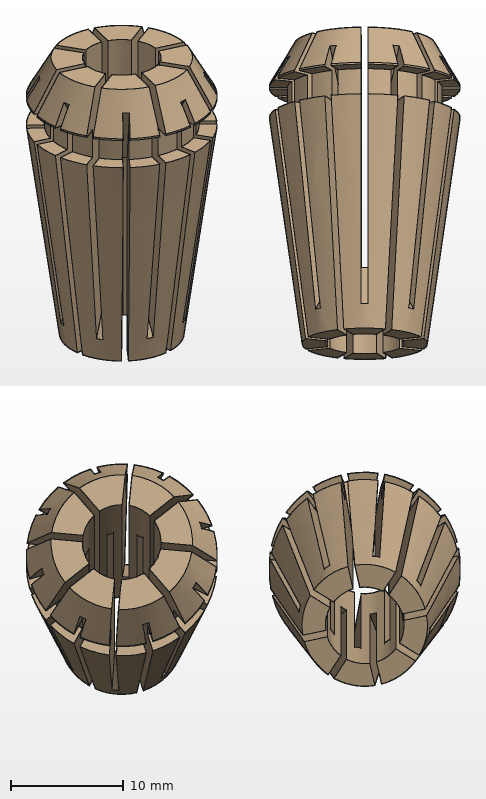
import cadquery as cq
import math

length = 27.5
max_radius = 8.5
bore_radius = 3.5

head_height = 4.0
head_rim_height = 0.16
head_cone_angle = 30.0

groove_width = 2.72
groove_radius = 6.9

body_taper_angle = 8.0

slots_per_set = 8
slot_width = 0.6
slot_end_angle = math.radians(58.8)
slot_end_dish = 0.1
top_slot_floor = 2.17
bottom_slot_roof_depth = 1.85

slot_pitch = 360.0 / slots_per_set
head_taper = math.tan(math.radians(head_cone_angle))
body_taper = math.tan(math.radians(body_taper_angle))

groove_top = length - head_height
groove_bottom = groove_top - groove_width
head_top_radius = max_radius - (head_height - head_rim_height) * head_taper
bottom_radius = max_radius - groove_bottom * body_taper


def make_body():
    """Revolve the unslotted collet, bore included."""
    profile = [
        (bore_radius, 0),
        (bottom_radius, 0),
        (max_radius, groove_bottom),
        (groove_radius, groove_bottom),
        (groove_radius, groove_top),
        (max_radius, groove_top),
        (max_radius, groove_top + head_rim_height),
        (head_top_radius, length),
        (bore_radius, length),
    ]
    return cq.Workplane("XZ").polyline(profile).close().revolve(360, (0, 0), (0, 1))


def make_blades(first_angle):
    """Full-height plates through the axis; each one covers two opposite slots."""
    blades = cq.Workplane("XY")
    for index in range(slots_per_set // 2):
        blade = cq.Workplane("XY").box(2 * length, slot_width, length, centered=(True, True, False))
        blades = blades.add(blade.rotate((0, 0, 0), (0, 0, 1), first_angle + index * slot_pitch))
    return blades.combine()


def make_slot_end(edge_radius, edge_height, base_height):
    """Solid that closes the slots between base_height and their dished ends.

    The dished end runs inwards from the given outer edge to the bore, away from base_height.
    """
    inward = math.copysign(1, edge_height - base_height)
    run = edge_radius - bore_radius
    bore_height = edge_height + inward * run * math.tan(slot_end_angle)
    dish_radius = (edge_radius + bore_radius) / 2 - slot_end_dish * math.sin(slot_end_angle)
    dish_height = (edge_height + bore_height) / 2 - inward * slot_end_dish * math.cos(slot_end_angle)
    profile = (
        cq.Workplane("XZ")
        .moveTo(0, base_height)
        .lineTo(edge_radius, base_height)
        .lineTo(edge_radius, edge_height)
        .threePointArc((dish_radius, dish_height), (bore_radius, bore_height))
        .lineTo(0, bore_height)
        .close()
    )
    return profile.revolve(360, (0, 0), (0, 1))


floor_radius = bottom_radius + top_slot_floor * body_taper
top_slots = make_blades(0).cut(make_slot_end(floor_radius, top_slot_floor, 0))

roof_radius = head_top_radius + bottom_slot_roof_depth * head_taper
roof_height = length - bottom_slot_roof_depth
bottom_slots = make_blades(slot_pitch / 2).cut(make_slot_end(roof_radius, roof_height, length))

result = make_body().cut(top_slots).cut(bottom_slots)